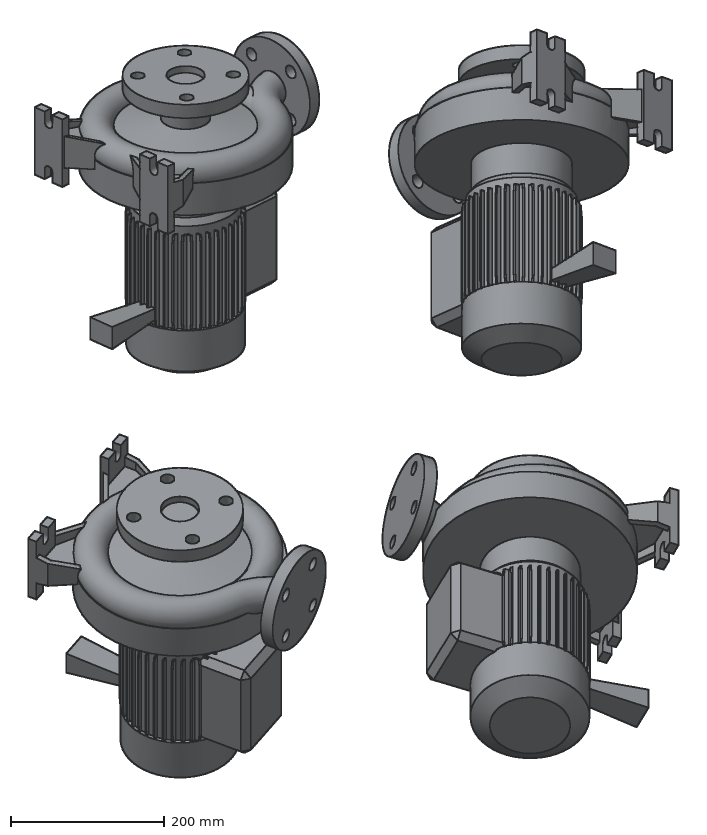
import cadquery as cq
import math


suction_face_z = 80.0
suction_flange_radius = 82.5
suction_flange_thickness = 20.0
suction_bolt_circle_radius = 62.5
suction_bore_diameter = 50.0
suction_bore_depth = 10.0
suction_neck_radius = 32.5

discharge_face_y = 180.0
discharge_flange_radius = 70.0
discharge_flange_thickness = 18.0
discharge_bolt_circle_radius = 50.0

bolt_hole_diameter = 18.0
bolt_hole_count = 4
first_bolt_angle = 45.0

volute_outer_radius = 140.0
tube_radius = 23.5
tube_center_radius = volute_outer_radius - tube_radius
volute_inner_radius = tube_center_radius - tube_radius
tube_radius_quarter_turn = 19.5
tongue_section_count = 5
cone_base_z = 6.0
cone_top_z = 17.0
back_plate_top_z = -6.0
back_plate_bottom_z = -53.0

lantern_radius = 66.0
lantern_bottom_z = -96.0
shoulder_radius = 73.0
shoulder_top_z = -105.0
fins_top_z = -116.5
fins_bottom_z = -257.0
cowl_radius = 78.0
cowl_chamfer_z = -317.0
motor_bottom_z = -333.0
motor_bottom_radius = 52.5

fin_count = 40
fin_thickness = 2.0
fin_tip_radius = 79.0
fin_end_radius = 78.0
fin_end_length = 12.0
fin_root_x = 45.0

box_width = 100.0
box_face_y = 130.0
box_bottom_z = -260.0
box_chamfer = 10.0
box_top_z = fins_top_z - 0.5

foot_face_y = -160.0
foot_plate_thickness = 12.5
foot_plate_height = 100.0
foot_outer_x = 120.0
foot_plate_width = 50.0
foot_slot_width = 14.0
foot_slot_depth = 21.5
foot_back_y = foot_face_y + foot_plate_thickness
foot_inner_x = foot_outer_x - foot_plate_width
rib_thickness = 8.0
outer_rib_bend_y = -130.5
outer_rib_angle = 25.0
outer_rib_end_y = -80.0
inner_rib_angle = 30.0
inner_rib_start_y = -156.0
inner_rib_end_x = 20.0
rib_half_height = 22.0
rib_taper = 0.16
web_thickness = 12.0

arm_root_y = -70.0
arm_root_width = 29.0
arm_root_height = 16.0
arm_end_width = 40.0
arm_end_height = 33.0
arm_center_z = -240.5


def drill_bolt_holes(flange, circle_radius):
    """Drill the bolt circle into a flange lying on its own workplane."""
    return (
        flange.faces(">Z")
        .workplane()
        .polarArray(circle_radius, first_bolt_angle, 360, bolt_hole_count)
        .hole(bolt_hole_diameter)
    )


def make_flange(radius, thickness, circle_radius):
    """Return a drilled flange standing on the XY plane."""
    return drill_bolt_holes(cq.Workplane("XY").circle(radius).extrude(thickness), circle_radius)


def make_suction_flange():
    flange = make_flange(suction_flange_radius, suction_flange_thickness, suction_bolt_circle_radius)
    return flange.translate((0, 0, suction_face_z - suction_flange_thickness))


def make_suction_bore():
    return (
        cq.Workplane("XY")
        .workplane(offset=suction_face_z - suction_bore_depth)
        .circle(suction_bore_diameter / 2)
        .extrude(suction_bore_depth)
    )


def make_discharge_flange():
    flange = make_flange(discharge_flange_radius, discharge_flange_thickness, discharge_bolt_circle_radius)
    return flange.rotate((0, 0, 0), (1, 0, 0), 90).translate((0, discharge_face_y, 0))


def make_revolved_body():
    """Neck, casing cone, back plate, lantern and motor barrel in one revolved profile."""
    profile = [
        (0, suction_face_z - suction_flange_thickness),
        (suction_neck_radius, suction_face_z - suction_flange_thickness),
        (suction_neck_radius, cone_top_z),
        (volute_inner_radius, cone_base_z),
        (tube_center_radius, cone_base_z),
        (tube_center_radius, back_plate_top_z),
        (volute_outer_radius, back_plate_top_z),
        (volute_outer_radius, back_plate_bottom_z),
        (lantern_radius, back_plate_bottom_z),
        (lantern_radius, lantern_bottom_z),
        (shoulder_radius, shoulder_top_z),
        (shoulder_radius, fins_bottom_z),
        (cowl_radius, fins_bottom_z),
        (cowl_radius, cowl_chamfer_z),
        (motor_bottom_radius, motor_bottom_z),
        (0, motor_bottom_z),
    ]
    return cq.Workplane("XZ").polyline(profile).close().revolve(360, (0, 0, 0), (0, 1, 0))


def polar_point(center, radius, angle):
    """Return the point at a distance and angle (radians) from a center."""
    return (center[0] + radius * math.cos(angle), center[1] + radius * math.sin(angle))


bend_radius = (discharge_face_y**2 - tube_center_radius**2) / (2 * tube_center_radius)
bend_center = (bend_radius, discharge_face_y)
tangent_angle = math.atan2(discharge_face_y, bend_radius)


def make_volute_tube():
    """Full-size tube swept from -X past -Y and +X, then bent out to the discharge flange."""
    volute_mid_angle = math.pi + (math.pi + tangent_angle) / 2
    bend_mid_angle = math.pi + tangent_angle / 2
    path = (
        cq.Workplane("XY")
        .moveTo(-tube_center_radius, 0)
        .threePointArc(
            polar_point((0, 0), tube_center_radius, volute_mid_angle),
            polar_point((0, 0), tube_center_radius, tangent_angle),
        )
        .threePointArc(
            polar_point(bend_center, bend_radius, bend_mid_angle),
            (0, discharge_face_y),
        )
    )
    return cq.Workplane("XZ").center(-tube_center_radius, 0).circle(tube_radius).sweep(path)


def make_volute_tongue():
    """Tapering start of the volute, from the full tube at -X round +Y to below the bend."""
    sweep_angle = math.pi - tangent_angle
    sections = []
    for index in range(tongue_section_count):
        turn = sweep_angle * index / (tongue_section_count - 1)
        radius = tube_radius + (tube_radius_quarter_turn - tube_radius) * turn / (math.pi / 2)
        center = polar_point((0, 0), volute_inner_radius + radius, math.pi - turn)
        section_plane = cq.Plane(
            origin=(center[0], center[1], 0),
            xDir=(0, 0, -1),
            normal=(math.sin(turn), math.cos(turn), 0),
        )
        sections.append(cq.Workplane(section_plane).circle(radius).wires().val())
    return cq.Workplane(cq.Solid.makeLoft(sections))


def make_side_fins():
    """Quarter set of upright fins on the +X side, all running parallel to X."""
    outline = [
        (fin_root_x, fins_bottom_z),
        (fin_end_radius, fins_bottom_z),
        (fin_tip_radius, fins_bottom_z + fin_end_length),
        (fin_tip_radius, fins_top_z - fin_end_length),
        (fin_end_radius, fins_top_z),
        (fin_root_x, fins_top_z),
    ]
    envelope = cq.Workplane("XZ").polyline(outline).close().revolve(360, (0, 0, 0), (0, 1, 0))
    pitch = 360 / fin_count
    fins_per_side = fin_count // 4
    plates = cq.Workplane("XY")
    for index in range(fins_per_side):
        angle = math.radians((index - (fins_per_side - 1) / 2) * pitch)
        plate = cq.Workplane("XY").box(
            fin_tip_radius,
            fin_thickness,
            fins_top_z - fins_bottom_z,
            centered=(False, True, False),
        )
        plates = plates.add(plate.translate((fin_root_x, fin_tip_radius * math.sin(angle), fins_bottom_z)))
    return plates.combine().intersect(envelope)


def make_fins():
    side = make_side_fins()
    fins = cq.Workplane("XY")
    for quarter in range(4):
        fins = fins.add(side.rotate((0, 0, 0), (0, 0, 1), 90 * quarter))
    return fins.combine()


def make_terminal_box():
    """Box on the +Y side of the motor with bevelled outer face and long edges."""
    return (
        cq.Workplane("XY")
        .box(box_width, box_face_y, box_top_z - box_bottom_z, centered=(True, False, False))
        .translate((0, 0, box_bottom_z))
        .edges("|Y or >Y")
        .chamfer(box_chamfer)
        .cut(cq.Workplane("XY").workplane(offset=box_bottom_z).circle(lantern_radius).extrude(-box_bottom_z))
    )


def make_foot_plate():
    """Upright plate on the +X side with an open slot in its top and bottom edges."""
    center_x = (foot_inner_x + foot_outer_x) / 2
    plate = cq.Workplane("XY").box(foot_plate_width, foot_plate_thickness, foot_plate_height)
    slot_length = 2 * foot_slot_depth
    slots = (
        cq.Workplane("XZ")
        .pushPoints([(0, foot_plate_height / 2), (0, -foot_plate_height / 2)])
        .slot2D(slot_length, foot_slot_width, 90)
        .extrude(foot_plate_thickness, both=True)
    )
    return plate.cut(slots).translate((center_x, foot_face_y + foot_plate_thickness / 2, 0))


def make_foot_ribs():
    """Two ribs joined by a web, tapering in height towards the casing."""
    outer_slope = math.tan(math.radians(outer_rib_angle))
    outer_rib_end_x = foot_outer_x - outer_slope * (outer_rib_end_y - outer_rib_bend_y)
    outer_edge = [
        (foot_outer_x, foot_back_y),
        (foot_outer_x, outer_rib_bend_y),
        (outer_rib_end_x, outer_rib_end_y),
    ]
    outer_rib = outer_edge + [(x - rib_thickness, y) for x, y in reversed(outer_edge)]

    inner_slope = math.tan(math.radians(inner_rib_angle))
    inner_rib_end_y = inner_rib_start_y + inner_slope * (foot_inner_x - inner_rib_end_x)
    inner_edge = [(foot_inner_x, inner_rib_start_y), (inner_rib_end_x, inner_rib_end_y)]
    inner_rib = inner_edge + [(x, y + rib_thickness) for x, y in reversed(inner_edge)]

    web = outer_edge + list(reversed(inner_edge))

    def upright(outline, height):
        return cq.Workplane("XY").polyline(outline).close().extrude(height / 2, both=True)

    def half_height_at(y):
        return rib_half_height - rib_taper * (y - foot_back_y)

    rear_half_height = half_height_at(foot_face_y)
    front_half_height = half_height_at(outer_rib_end_y)
    taper_envelope = (
        cq.Workplane("YZ")
        .polyline(
            [
                (foot_face_y, -rear_half_height),
                (outer_rib_end_y, -front_half_height),
                (outer_rib_end_y, front_half_height),
                (foot_face_y, rear_half_height),
            ]
        )
        .close()
        .extrude(foot_outer_x)
    )
    ribs = upright(outer_rib, foot_plate_height).union(upright(inner_rib, foot_plate_height))
    return ribs.intersect(taper_envelope).union(upright(web, web_thickness))


def make_feet():
    foot = make_foot_plate().union(make_foot_ribs())
    return foot.union(foot.mirror("YZ"))


def make_support_arm():
    """Arm on the -Y side of the motor, growing in width and height towards its free end."""
    return (
        cq.Workplane("XZ", origin=(0, arm_root_y, arm_center_z))
        .rect(arm_root_width, arm_root_height)
        .workplane(offset=arm_root_y - foot_face_y)
        .rect(arm_end_width, arm_end_height)
        .loft()
    )


result = (
    make_revolved_body()
    .union(make_volute_tube())
    .union(make_volute_tongue())
    .union(make_suction_flange())
    .union(make_discharge_flange())
    .union(make_fins())
    .union(make_terminal_box())
    .union(make_feet())
    .union(make_support_arm())
    .cut(make_suction_bore())
)